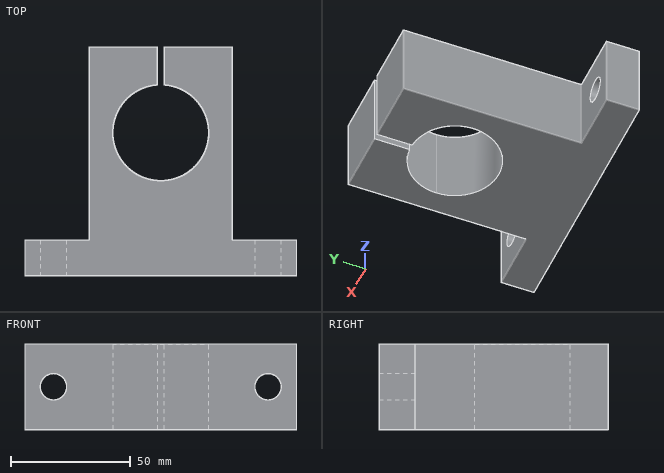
import cadquery as cq

base_width = 114.0
base_thickness = 15.0
total_height = 96.0
depth = 36.0
block_width = 60.0
edge_radius = 0.2

bore_diameter = 40.0
bore_height = 60.0
bore_chamfer = 0.2
slit_width = 2.7

mount_hole_diameter = 11.0
mount_hole_spacing = 90.0


def make_body():
    """T-shaped bracket with its mounting face on Y = 0, centred on X and Z."""
    base = cq.Workplane("XY").box(base_width, base_thickness, depth, centered=(True, False, True))
    block = cq.Workplane("XY").box(block_width, total_height, depth, centered=(True, False, True))
    return base.union(block)


def make_bore():
    """Through bore for the shaft, along Z."""
    return (
        cq.Workplane("XY")
        .center(0, bore_height)
        .circle(bore_diameter / 2)
        .extrude(depth / 2, both=True)
    )


def make_slit():
    """Clamping slit from the bore out through the end of the block."""
    slit_length = total_height - bore_height
    return (
        cq.Workplane("XY")
        .box(slit_width, slit_length, depth, centered=(True, False, True))
        .translate((0, bore_height, 0))
    )


def make_mount_holes():
    """Pair of through holes in the base wings, along Y."""
    half_spacing = mount_hole_spacing / 2
    return (
        cq.Workplane("XZ")
        .pushPoints([(-half_spacing, 0), (half_spacing, 0)])
        .circle(mount_hole_diameter / 2)
        .extrude(-base_thickness)
    )


body = make_body()
mounting_face_edges = cq.selectors.BoxSelector(
    (-base_width, -edge_radius, -depth),
    (base_width, edge_radius, depth),
)
body = body.edges(cq.selectors.InverseSelector(mounting_face_edges)).fillet(edge_radius)

body = body.cut(make_bore())
body = body.faces(">Z").edges("%CIRCLE").chamfer(bore_chamfer)

result = body.cut(make_slit()).cut(make_mount_holes())